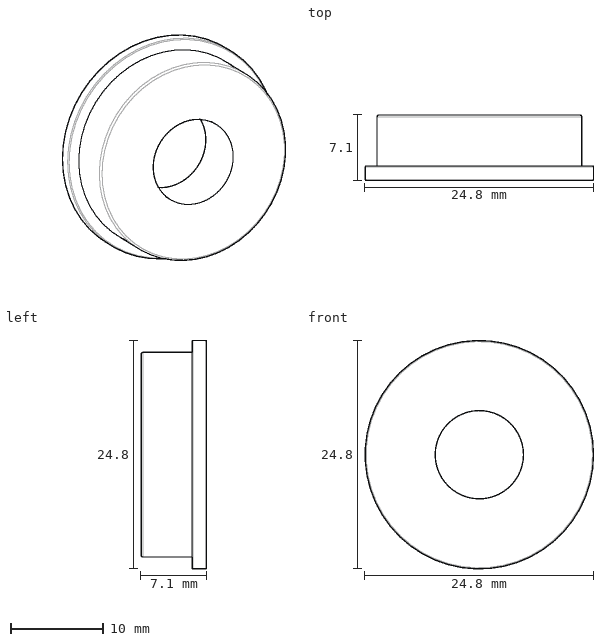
import cadquery as cq

flange_diameter = 24.77
body_diameter = 22.22
bore_diameter = 9.54
total_length = 7.1
flange_thickness = 1.59
flange_edge_radius = 0.12
body_edge_radius = 0.22


def cylinder_along_y(diameter, length):
    """Cylinder starting at Y = 0 and extending toward +Y."""
    return cq.Workplane("XZ").circle(diameter / 2).extrude(-length)


flange = cylinder_along_y(flange_diameter, flange_thickness).edges().fillet(flange_edge_radius)

body = cylinder_along_y(body_diameter, total_length).edges(">Y").fillet(body_edge_radius)

bore = cylinder_along_y(bore_diameter, total_length)

result = flange.union(body).cut(bore)